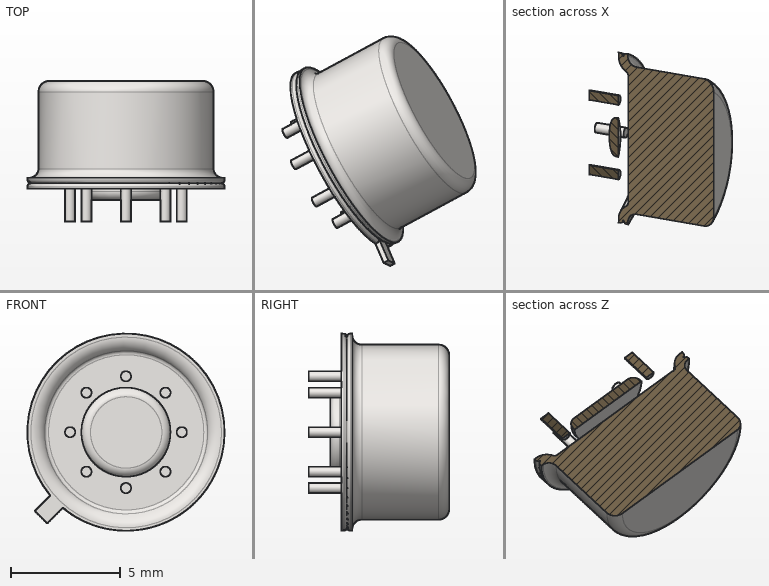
import cadquery as cq
import math


flange_radius = 4.5
flange_half = 0.25
notch_round = 0.15
flange_top = 2 * flange_half

can_radius = 8.0 / 2
can_top = 4.92
can_top_round = 0.5
can_foot_round = 0.41

lip_radius = 4.35
lip_round = 0.7
floor_round = 0.2
recess_depth = 0.5

button_radius = 4.07 / 2
button_height = 0.51
button_round = 0.405

tab_width = 0.81
tab_reach = 5.48
tab_root = lip_radius
tab_angle = 225

pin_count = 8
pin_radius = 0.47 / 2
pin_length = 1.49
pin_circle_radius = 2.55


def cylinder_y(radius, start, end):
    """Cylinder about the Y axis between two Y positions."""
    return cq.Workplane("XZ", origin=(0, start, 0)).circle(radius).extrude(start - end)


def revolve_y(profile):
    """Close a profile of (radius, Y) points and revolve it about the Y axis."""
    return profile.close().revolve(360, (0, 0, 0), (0, 1, 0))


def make_shell():
    """Can and notched flange, before the recess is cut."""
    foot_radius = can_radius + can_foot_round
    notch_radius = flange_radius - notch_round
    profile = (
        cq.Workplane("XY")
        .lineTo(flange_radius, 0)
        .lineTo(flange_radius, flange_half - notch_round)
        .radiusArc((notch_radius, flange_half), -notch_round)
        .radiusArc((flange_radius, flange_half + notch_round), -notch_round)
        .lineTo(flange_radius, flange_top)
        .lineTo(foot_radius, flange_top)
        .radiusArc((can_radius, flange_top + can_foot_round), can_foot_round)
        .lineTo(can_radius, can_top - can_top_round)
        .radiusArc((can_radius - can_top_round, can_top), -can_top_round)
        .lineTo(0, can_top)
    )
    return revolve_y(profile)


def make_recess():
    """Round recess whose wall is two tangent arcs, from the lip to the floor."""
    turn = math.acos(1 - recess_depth / (lip_round + floor_round))
    tangent_radius = lip_radius - lip_round * math.sin(turn)
    tangent_depth = lip_round * (1 - math.cos(turn))
    floor_radius = tangent_radius - floor_round * math.sin(turn)
    profile = (
        cq.Workplane("XY")
        .lineTo(lip_radius, 0)
        .radiusArc((tangent_radius, tangent_depth), lip_round)
        .radiusArc((floor_radius, recess_depth), -floor_round)
        .lineTo(0, recess_depth)
    )
    return revolve_y(profile)


def make_tab():
    """Radial tab, as thick as the lower half of the flange."""
    length = tab_reach - tab_root
    tab = cq.Workplane("XY").box(length, flange_half, tab_width, centered=(False, False, True))
    return tab.translate((tab_root, 0, 0)).rotate((0, 0, 0), (0, 1, 0), -tab_angle)


def make_housing():
    """Flanged can with its tab and recessed underside."""
    return make_shell().union(make_tab()).cut(make_recess())


def make_button():
    """Round button with a rounded outer rim."""
    return cylinder_y(button_radius, -button_height, 0).faces("<Y").edges().fillet(button_round)


def make_pin(angle):
    """Pin at the given angle, in degrees, around the pin circle."""
    pin = cylinder_y(pin_radius, -pin_length, 0).translate((pin_circle_radius, 0, 0))
    return pin.rotate((0, 0, 0), (0, 1, 0), angle)


housing = make_housing()
button = make_button()
pins = [make_pin(i * 360 / pin_count) for i in range(pin_count)]

result = cq.Compound.makeCompound([housing.val(), button.val(), *[pin.val() for pin in pins]])